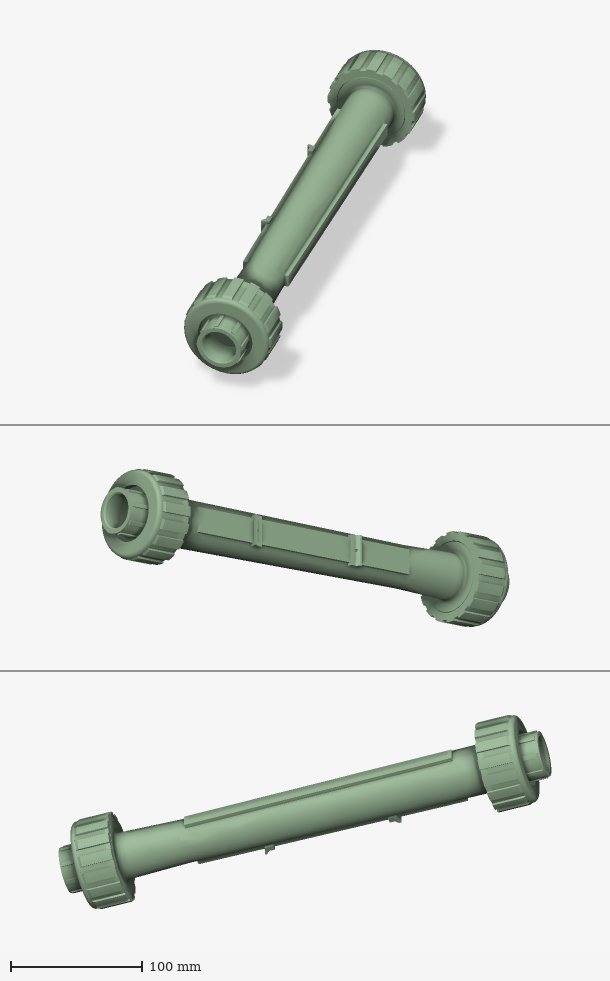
import cadquery as cq

TOTAL_LENGTH = 383.54
END_Y = TOTAL_LENGTH / 2

NUT_OUTER_Y = 177.8
NUT_INNER_Y = 147.0
NUT_BASE_DIAMETER = 68.5
NUT_RIB_DIAMETER = 70.62
NUT_EDGE_RADIUS = 3.0
NUT_RIB_COUNT = 16
NUT_RIB_WIDTH = 8.0
NUT_RIB_START = 4.2
NUT_RIB_RAMP = 1.9
NUT_GROOVE_DIAMETER = 67.2
NUT_GROOVE_START = 3.8
NUT_MOUTH_DIAMETER = 44.15
NUT_MOUTH_DEPTH = 6.0
COLLAR_DIAMETER = 54.66
NUT_BORE_DIAMETER = 55.63
COLLAR_GAP_DEPTH = 10.0

SOCKET_DIAMETER = 35.56
SOCKET_ROOT_RADIUS = 3.5
SOCKET_BORE_DIAMETER = 26.87
SOCKET_BORE_DEPTH = 22.0
SOCKET_CHAMFER = 1.0
SOCKET_RIB_DIAMETER = 37.72
SOCKET_RIB_COUNT = 8
SOCKET_RIB_WIDTH = 3.2
SOCKET_RIB_SETBACK = 1.7
FAR_RIB_ANGLE = 5.5
NEAR_RIB_ANGLE = 9.5

TUBE_WIDE_RADIUS = 19.2
TUBE_WAIST_RADIUS = 16.9
TUBE_FOOT_RADIUS = 18.3
TUBE_WAIST_Y = -96.3
TUBE_ROOT_RADIUS = 2.2

PLATE_TOP_Y = 124.3
PLATE_BOTTOM_Y = -90.8
PLATE_KINK_Y = 109.1
FRONT_PLATE_WIDTH = 19.6
FRONT_PLATE_RISE = 0.3
BACK_PLATE_WIDTH = 10.0
BACK_PLATE_RISE = 2.65

POINTER_WIDTH = 24.0
POINTER_LENGTH = 8.5
UPPER_POINTER_Y = 69.9
LOWER_POINTER_Y = -38.8
POINTER_BASE_RISE = 1.4
POINTER_TIP_RISE = 4.0
POINTER_TIP_LENGTH = 1.6
POINTER_RAMP_END = 4.2
POINTER_ROOT = 2.5
POINTER_HOLE_DIAMETER = 2.6
POINTER_HOLE_POSITION = 4.2
POINTER_HOLE_DEPTH = 0.8


def ring(outer_radius, inner_radius, y_low, y_high):
    """Hollow cylinder on the Y axis."""
    start = cq.Workplane("XZ", origin=(0, y_low, 0))
    return start.circle(outer_radius).circle(inner_radius).extrude(-(y_high - y_low))


def cylinder(radius, y_low, y_high):
    """Solid cylinder on the Y axis."""
    return cq.Workplane("XZ", origin=(0, y_low, 0)).circle(radius).extrude(-(y_high - y_low))


def radial_bars(count, width, reach, y_low, y_high, first_angle=0.0):
    """Bars along Y that radiate from the axis; the first is turned from +Z towards +X."""
    length = y_high - y_low
    bar = cq.Workplane("XY").box(width, length, reach, centered=(True, False, False))
    bar = bar.translate((0, y_low, 0))
    bars = cq.Workplane("XY")
    for index in range(count):
        angle = first_angle + index * 360.0 / count
        bars = bars.add(bar.rotate((0, 0, 0), (0, 1, 0), angle))
    return bars.combine()


def nut():
    """Ribbed nut of the +Y end, with an open mouth and a narrow gap around the collar."""
    base_radius = NUT_BASE_DIAMETER / 2
    rib_radius = NUT_RIB_DIAMETER / 2
    groove_radius = NUT_GROOVE_DIAMETER / 2
    rib_foot_y = NUT_OUTER_Y - NUT_RIB_START
    groove_end_y = NUT_OUTER_Y - NUT_GROOVE_START
    body = cylinder(base_radius, NUT_INNER_Y, NUT_OUTER_Y).faces(">Y").edges().fillet(NUT_EDGE_RADIUS)

    rib_envelope = (
        cq.Workplane("XY")
        .moveTo(0, NUT_INNER_Y)
        .lineTo(rib_radius, NUT_INNER_Y)
        .lineTo(rib_radius, rib_foot_y - NUT_RIB_RAMP)
        .lineTo(base_radius, rib_foot_y)
        .lineTo(0, rib_foot_y)
        .close()
        .revolve(360, (0, 0, 0), (0, 1, 0))
    )
    bars = radial_bars(NUT_RIB_COUNT, NUT_RIB_WIDTH, NUT_RIB_DIAMETER, NUT_INNER_Y, groove_end_y)
    grooves = ring(NUT_RIB_DIAMETER, groove_radius, NUT_INNER_Y, groove_end_y).cut(bars)
    body = body.union(rib_envelope).cut(grooves)

    mouth = cylinder(NUT_MOUTH_DIAMETER / 2, NUT_OUTER_Y - NUT_MOUTH_DEPTH, NUT_OUTER_Y)
    gap = ring(NUT_BORE_DIAMETER / 2, COLLAR_DIAMETER / 2, NUT_INNER_Y, NUT_INNER_Y + COLLAR_GAP_DEPTH)
    return body.cut(mouth).cut(gap)


def socket(rib_angle):
    """Ribbed pipe socket of the +Y end, flared at its root."""
    radius = SOCKET_DIAMETER / 2
    root_y = NUT_OUTER_Y - NUT_MOUTH_DEPTH
    flare = SOCKET_ROOT_RADIUS
    body = (
        cq.Workplane("XY")
        .moveTo(0, NUT_INNER_Y)
        .lineTo(radius + flare, NUT_INNER_Y)
        .lineTo(radius + flare, root_y)
        .radiusArc((radius, root_y + flare), flare)
        .lineTo(radius, END_Y)
        .lineTo(0, END_Y)
        .close()
        .revolve(360, (0, 0, 0), (0, 1, 0))
    )
    rib_end_y = END_Y - SOCKET_RIB_SETBACK
    bars = radial_bars(SOCKET_RIB_COUNT, SOCKET_RIB_WIDTH, SOCKET_DIAMETER, root_y, rib_end_y, rib_angle)
    return body.union(bars.intersect(cylinder(SOCKET_RIB_DIAMETER / 2, root_y, rib_end_y)))


def socket_bore():
    radius = SOCKET_BORE_DIAMETER / 2
    bore = cylinder(radius, END_Y - SOCKET_BORE_DEPTH, END_Y)
    mouth = cq.Solid.makeCone(
        radius, radius + SOCKET_CHAMFER, SOCKET_CHAMFER,
        cq.Vector(0, END_Y - SOCKET_CHAMFER, 0), cq.Vector(0, 1, 0),
    )
    return bore.union(cq.Workplane(mouth))


def union_end(rib_angle):
    """Nut and socket of the +Y end."""
    return nut().union(socket(rib_angle)).cut(socket_bore())


def tube():
    root = TUBE_ROOT_RADIUS
    return (
        cq.Workplane("XY")
        .moveTo(0, -NUT_INNER_Y)
        .lineTo(TUBE_FOOT_RADIUS + root, -NUT_INNER_Y)
        .radiusArc((TUBE_FOOT_RADIUS, root - NUT_INNER_Y), root)
        .lineTo(TUBE_WAIST_RADIUS, TUBE_WAIST_Y)
        .lineTo(TUBE_WIDE_RADIUS, NUT_INNER_Y - root)
        .radiusArc((TUBE_WIDE_RADIUS + root, NUT_INNER_Y), root)
        .lineTo(0, NUT_INNER_Y)
        .close()
        .revolve(360, (0, 0, 0), (0, 1, 0))
    )


def cone_radius(y):
    """Radius of the long cone of the tube at position y."""
    fraction = (y - TUBE_WAIST_Y) / (NUT_INNER_Y - TUBE_ROOT_RADIUS - TUBE_WAIST_Y)
    return TUBE_WAIST_RADIUS + fraction * (TUBE_WIDE_RADIUS - TUBE_WAIST_RADIUS)


def prism(points, width):
    """Outline in the XY plane, extruded to both sides of it to the given total width."""
    return cq.Workplane("XY").polyline(points).close().extrude(width / 2, both=True)


def front_plate():
    kink_x = -(cone_radius(PLATE_KINK_Y) + FRONT_PLATE_RISE)
    bottom_x = -(cone_radius(PLATE_BOTTOM_Y) + FRONT_PLATE_RISE)
    points = [
        (0, PLATE_TOP_Y),
        (kink_x, PLATE_TOP_Y),
        (kink_x, PLATE_KINK_Y),
        (bottom_x, PLATE_BOTTOM_Y),
        (0, PLATE_BOTTOM_Y),
    ]
    return prism(points, FRONT_PLATE_WIDTH)


def back_plate():
    points = [
        (0, PLATE_TOP_Y),
        (cone_radius(PLATE_TOP_Y) + BACK_PLATE_RISE, PLATE_TOP_Y),
        (cone_radius(PLATE_BOTTOM_Y) + BACK_PLATE_RISE, PLATE_BOTTOM_Y),
        (0, PLATE_BOTTOM_Y),
    ]
    return prism(points, BACK_PLATE_WIDTH)


def pointer(tip_y, direction):
    """Limit pointer on the front plate; direction is the sense along Y from its tip to its tail."""
    face_x = -(cone_radius(tip_y + direction * POINTER_LENGTH / 2) + FRONT_PLATE_RISE)
    profile = [
        (0, POINTER_TIP_RISE),
        (POINTER_TIP_LENGTH, POINTER_TIP_RISE),
        (POINTER_RAMP_END, POINTER_BASE_RISE),
        (POINTER_LENGTH, POINTER_BASE_RISE),
        (POINTER_LENGTH, -POINTER_ROOT),
        (POINTER_TIP_LENGTH, -POINTER_ROOT),
    ]
    points = [(face_x - rise, tip_y + direction * along) for along, rise in profile]
    hole_y = tip_y + direction * POINTER_HOLE_POSITION
    hole = (
        cq.Workplane("YZ", origin=(face_x - POINTER_BASE_RISE + POINTER_HOLE_DEPTH, hole_y, 0))
        .circle(POINTER_HOLE_DIAMETER / 2)
        .extrude(-POINTER_TIP_RISE)
    )
    return prism(points, POINTER_WIDTH).cut(hole)


result = (
    tube()
    .union(front_plate())
    .union(back_plate())
    .union(pointer(UPPER_POINTER_Y, -1))
    .union(pointer(LOWER_POINTER_Y, 1))
    .union(union_end(FAR_RIB_ANGLE))
    .union(union_end(NEAR_RIB_ANGLE).rotate((0, 0, 0), (0, 0, 1), 180))
)